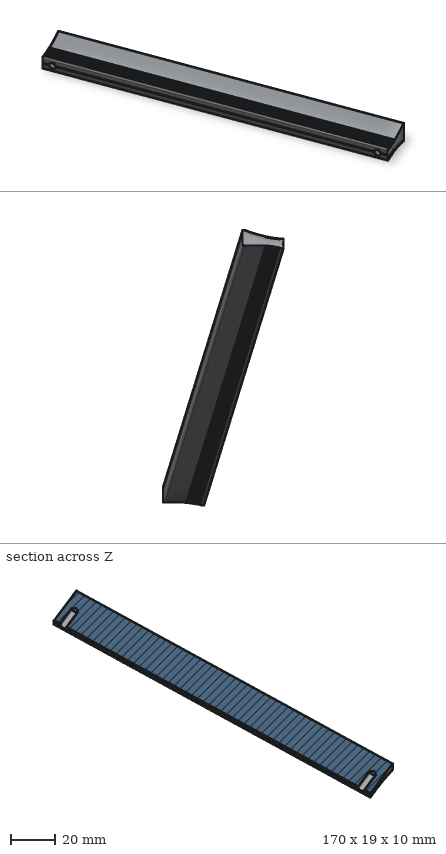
import cadquery as cq
import math

length = 170.0
depth = 19.0

hollow_radius = 41.6
waist_height = 5.8
waist_from_front = 5.1
back_fillet = 0.7
front_fillet = 0.3

groove_count = 13
groove_pitch = 0.5
groove_width = 0.37
groove_depth = 0.29
groove_overshoot = 0.08

hole_spacing = 160.0
hole_diameter = 3.2
hole_depth = 10.0
hole_tip_angle = 118.0

left_x = -length / 2
front_y = -depth / 2
back_y = depth / 2
waist_y = front_y + waist_from_front
waist_z = waist_height / 2
hollow_centre_z = waist_z + hollow_radius


def hollow_height(y):
    """Height of the upper finger surface at the given Y."""
    return hollow_centre_z - math.sqrt(hollow_radius**2 - (y - waist_y) ** 2)


def make_bar():
    back_z = hollow_height(back_y)
    front_z = hollow_height(front_y)
    bar = (
        cq.Workplane("YZ", origin=(left_x, 0, 0))
        .moveTo(front_y, -front_z)
        .lineTo(front_y, front_z)
        .threePointArc((waist_y, waist_z), (back_y, back_z))
        .lineTo(back_y, -back_z)
        .threePointArc((waist_y, -waist_z), (front_y, -front_z))
        .close()
        .extrude(length)
    )
    bar = bar.edges("|X and >Y").fillet(back_fillet)
    return bar.edges("|X and <Y").fillet(front_fillet)


def make_groove_cutter():
    """Full-length V cutter along X, for a surface at Z = 0, with its tip pointing down."""
    half_top = groove_width / 2 * (1 + groove_overshoot / groove_depth)
    return (
        cq.Workplane("YZ", origin=(left_x, 0, 0))
        .polyline([(-half_top, groove_overshoot), (half_top, groove_overshoot), (0, -groove_depth)])
        .close()
        .extrude(length)
    )


def cut_finger_grooves(bar):
    """Cut the grooves square to the curved surface, above and below."""
    hollow_axis_start = (left_x, waist_y, hollow_centre_z)
    hollow_axis_end = (-left_x, waist_y, hollow_centre_z)
    waist_cutter = make_groove_cutter().translate((0, waist_y, waist_z))
    for index in range(groove_count):
        offset = (index - (groove_count - 1) / 2) * groove_pitch
        angle = math.degrees(math.asin(offset / hollow_radius))
        cutter = waist_cutter.rotate(hollow_axis_start, hollow_axis_end, angle)
        bar = bar.cut(cutter).cut(cutter.mirror("XY"))
    return bar


def cut_front_groove(bar):
    """Cut one groove along the middle of the front face."""
    cutter = make_groove_cutter().rotate((0, 0, 0), (1, 0, 0), 90)
    return bar.cut(cutter.translate((0, front_y, 0)))


def cut_mounting_holes(bar):
    """Cut two blind holes with conical drill tips into the front face."""
    radius = hole_diameter / 2
    hole_end_y = front_y + hole_depth
    tip_length = radius / math.tan(math.radians(hole_tip_angle / 2))
    drill = (
        cq.Workplane("XY")
        .moveTo(0, front_y)
        .lineTo(radius, front_y)
        .lineTo(radius, hole_end_y)
        .lineTo(0, hole_end_y + tip_length)
        .close()
        .revolve(360, (0, 0, 0), (0, 1, 0))
    )
    for x in (-hole_spacing / 2, hole_spacing / 2):
        bar = bar.cut(drill.translate((x, 0, 0)))
    return bar


result = cut_mounting_holes(cut_front_groove(cut_finger_grooves(make_bar())))